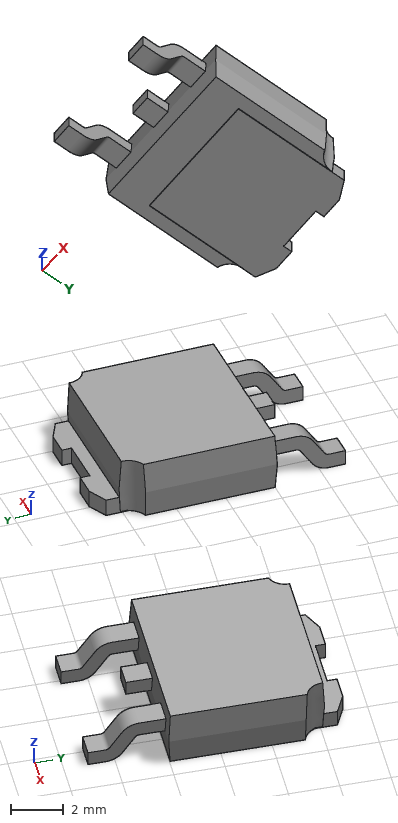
import cadquery as cq
import math


BODY_WIDTH = 6.73
BODY_LENGTH = 6.2
BODY_TOP = 2.4
BODY_BOTTOM = 0.04
PARTING_HEIGHT = 1.13
DRAFT_ANGLE = 3.5

RELIEF_TOP_RADIUS = 0.72
RELIEF_BOTTOM_RADIUS = 0.79
RELIEF_OFFSET_X = 3.52
RELIEF_OFFSET_Y = 6.09

LEAD_THICKNESS = 0.62
LEAD_WIDTH = 0.9
LEAD_PITCH = 2.28
LEAD_REACH = 3.0
LEAD_STRAIGHT = 1.0
LEAD_BEND_ANGLE = 55.0
LEAD_INNER_RADIUS = 0.2
LEAD_EMBED = 0.5
CENTRE_LEAD_WIDTH = 0.88

TAB_WIDTH = 2 * LEAD_PITCH + LEAD_WIDTH
TAB_THICKNESS = 0.71
TAB_FRONT = 1.6
TAB_BACK = 7.1
TAB_CHAMFER_X = 0.79
TAB_CHAMFER_Y = 0.39
TAB_NOTCH_WIDTH = 1.97
TAB_NOTCH_DEPTH = 0.39


def make_body_half(height):
    """Drafted half body; a negative height builds downwards from the parting plane."""
    half = (
        cq.Workplane("XY")
        .rect(BODY_WIDTH, BODY_LENGTH)
        .extrude(abs(height), taper=DRAFT_ANGLE)
    )
    if height < 0:
        half = half.mirror("XY")
    return half.translate((0, BODY_LENGTH / 2, PARTING_HEIGHT))


def make_corner_relief(side):
    """Cone that hollows the back corner on the given side (-1 or +1)."""
    cone = cq.Solid.makeCone(
        RELIEF_BOTTOM_RADIUS,
        RELIEF_TOP_RADIUS,
        BODY_TOP - BODY_BOTTOM,
        pnt=cq.Vector(side * RELIEF_OFFSET_X, RELIEF_OFFSET_Y, BODY_BOTTOM),
    )
    return cq.Workplane(obj=cone)


def make_body():
    upper = make_body_half(BODY_TOP - PARTING_HEIGHT)
    lower = make_body_half(BODY_BOTTOM - PARTING_HEIGHT)
    body = upper.union(lower)
    for side in (-1, 1):
        body = body.cut(make_corner_relief(side))
    return body


def make_tab():
    """Plate under the body with chamfered back corners and a back notch."""
    half_width = TAB_WIDTH / 2
    half_notch = TAB_NOTCH_WIDTH / 2
    shoulder = TAB_BACK - TAB_CHAMFER_Y
    notch_floor = TAB_BACK - TAB_NOTCH_DEPTH
    return (
        cq.Workplane("XY")
        .moveTo(-half_width, TAB_FRONT)
        .lineTo(half_width, TAB_FRONT)
        .lineTo(half_width, shoulder)
        .lineTo(half_width - TAB_CHAMFER_X, TAB_BACK)
        .lineTo(half_notch, TAB_BACK)
        .lineTo(half_notch, notch_floor)
        .lineTo(-half_notch, notch_floor)
        .lineTo(-half_notch, TAB_BACK)
        .lineTo(-half_width + TAB_CHAMFER_X, TAB_BACK)
        .lineTo(-half_width, shoulder)
        .close()
        .extrude(TAB_THICKNESS)
    )


def arc_point(centre, radius, angle):
    """Point in the YZ plane, with the angle in degrees from +Z towards -Y."""
    turn = math.radians(angle)
    return (centre[0] - radius * math.sin(turn), centre[1] + radius * math.cos(turn))


def make_formed_lead(x_centre):
    """Gull-wing lead: straight out of the body, down a slope, then a flat foot."""
    bend = math.radians(LEAD_BEND_ANGLE)
    inner = LEAD_INNER_RADIUS
    outer = inner + LEAD_THICKNESS
    lead_top = PARTING_HEIGHT + LEAD_THICKNESS

    bend_radii = inner + outer
    slope_length = (PARTING_HEIGHT - bend_radii * (1 - math.cos(bend))) / math.sin(bend)
    run = bend_radii * math.sin(bend) + slope_length * math.cos(bend)
    upper_centre = (-LEAD_STRAIGHT, PARTING_HEIGHT - inner)
    lower_centre = (-LEAD_STRAIGHT - run, outer)

    half_bend = LEAD_BEND_ANGLE / 2
    return (
        cq.Workplane("YZ")
        .moveTo(LEAD_EMBED, lead_top)
        .lineTo(-LEAD_STRAIGHT, lead_top)
        .threePointArc(
            arc_point(upper_centre, outer, half_bend),
            arc_point(upper_centre, outer, LEAD_BEND_ANGLE),
        )
        .lineTo(*arc_point(lower_centre, -inner, LEAD_BEND_ANGLE))
        .threePointArc(
            arc_point(lower_centre, -inner, half_bend),
            arc_point(lower_centre, -inner, 0),
        )
        .lineTo(-LEAD_REACH, LEAD_THICKNESS)
        .lineTo(-LEAD_REACH, 0)
        .lineTo(lower_centre[0], 0)
        .threePointArc(
            arc_point(lower_centre, -outer, half_bend),
            arc_point(lower_centre, -outer, LEAD_BEND_ANGLE),
        )
        .lineTo(*arc_point(upper_centre, inner, LEAD_BEND_ANGLE))
        .threePointArc(
            arc_point(upper_centre, inner, half_bend),
            arc_point(upper_centre, inner, 0),
        )
        .lineTo(LEAD_EMBED, PARTING_HEIGHT)
        .close()
        .extrude(LEAD_WIDTH / 2, both=True)
        .translate((x_centre, 0, 0))
    )


def make_centre_lead():
    """Short, cropped stub of the middle lead."""
    return (
        cq.Workplane("XY")
        .box(
            CENTRE_LEAD_WIDTH,
            LEAD_STRAIGHT + LEAD_EMBED,
            LEAD_THICKNESS,
            centered=(True, False, False),
        )
        .translate((0, -LEAD_STRAIGHT, PARTING_HEIGHT))
    )


result = make_body().union(make_tab()).union(make_centre_lead())
for lead_side in (-1, 1):
    result = result.union(make_formed_lead(lead_side * LEAD_PITCH))